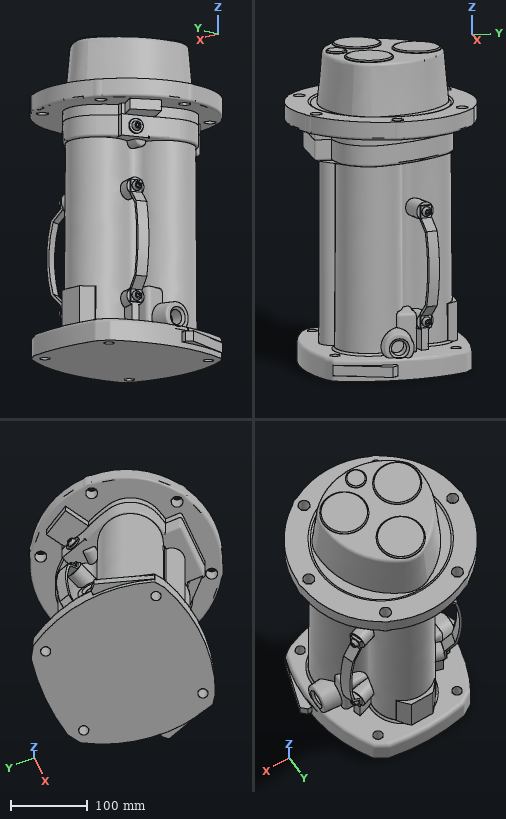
import cadquery as cq
import math

TOP_Z = 421.0
BASE_HEIGHT = 30.5
PARTING_Z = 310.5
COLLAR_BOTTOM_Z = 282.0
LOBE_OFFSET = 50.0

COLUMN_LOBE_RADIUS = 44.5
COLUMN_SIDE_CENTRE = 63.0
COLUMN_TAPER = 0.35
COLUMN_FOOT = 3.0
RIB_RADIUS = 17.5
RIB_REACH = 82.0
RIB_FOOT_WIDTH = 44.5

COLLAR_LOBE_RADIUS = 46.5
COLLAR_SIDE_CENTRE = -126.3
COLLAR_BLOCK_WIDTH = 80.0
COLLAR_BLOCK_REACH = 96.0
COLLAR_FILLET = 3.5

BASE_CORNER_FILLET = 6.5
BASE_RIM_FILLET = 6.5
BASE_HOLE_DIAMETER = 13.0
BASE_FRONT_HOLE = (75.8, -75.8)
BASE_BACK_HOLE = (61.5, 87.5)
TAB_BOTTOM_Z = 7.5
TAB_HEIGHT = 14.0
TAB_ROOT = 75.8
TAB_REACH = 121.0
TAB_CHAMFER = 7.5
TAB_TIP_X = 96.0
TAB_LENGTH = 82.5

FLANGE_BOTTOM_Z = 325.0
FLANGE_TOP_Z = 349.5
FLANGE_RADIUS = 126.07
FLANGE_FILLET = 3.5
EAR_REACH = 127.0
BOLT_CIRCLE_RADIUS = 112.0
BOLT_HOLE_DIAMETER = 15.0
BOLT_COUNT = 6
RECESS_RADIUS = 94.7
RECESS_DEPTH = 1.5
RECESS_TAPER = 60.0
BRACKET_REACH = 113.5
BRACKET_WIDTH = 42.0
BRACKET_ANGLE = 150.0

DOME_LOBE_RADIUS = 39.5
DOME_FRONT_CENTRE = -17.3
DOME_BACK_CENTRE = -38.0
DOME_TAPER = 5.1
DOME_FILLET = 5.5
PAD_HEIGHT = 2.5
PAD_SKIRT = 5.0
PAD_CHAMFER = 1.5
PAD_DIAMETER = 64.0
PAD_OFFSET = 47.5
SMALL_PAD_DIAMETER = 27.5
SMALL_PAD_OFFSET = 59.0

PORT_Y = 4.0
PORT_Z = 41.5
PORT_REACH = 103.0
PORT_DIAMETER = 39.5
PORT_HOLE_DIAMETER = 19.8
PORT_MOUTH_DIAMETER = 26.5
PORT_DEPTH = 21.0
PORT_FLARE = 5.0

SIDE_TILT = math.radians(18)
HANDLE_SEAT = (-66.5, 45.5)
HANDLE_LOWER_Z = 68.5
HANDLE_UPPER_Z = 215.5
HANDLE_WIDTH = 15.5
HANDLE_THICKNESS = 3.8
HANDLE_FOOT = 8.0
HANDLE_SHOULDER_OUT = 18.5
HANDLE_BOW_OUT = 25.0
HANDLE_BOSS_DIAMETER = 24.5
HANDLE_BOSS_LENGTH = 33.5
SCREW_HEAD_DIAMETER = 13.0
SCREW_HEAD_HEIGHT = 5.0
SCREW_DIAMETER = 8.0
SCREW_LENGTH = 21.0
SCREW_SOCKET_WIDTH = 5.0
SCREW_SOCKET_DEPTH = 2.5

EARTH_SEAT = (-67.0, 45.5)
EARTH_Z = 296.0
EARTH_BOSS_WIDTH = 40.0
EARTH_BOSS_LENGTH = 29.5
WASHER_DIAMETER = 19.8
WASHER_THICKNESS = 2.5


def polar(radius, degrees):
    angle = math.radians(degrees)
    return (radius * math.cos(angle), radius * math.sin(angle))


def lobed_outline(z, lobe_radius, front_side_centre, back_side_centre):
    """Three lobes joined by tangent arcs.

    A side is centred on the line that runs out between its two lobes: it is hollow
    if the centre is out there (> 0) and bulges if the centre is behind the axis (< 0).
    """
    side_centres = {30: back_side_centre, 150: back_side_centre, 270: front_side_centre}
    lobe_points = []
    side_points = []
    entry_points = []
    exit_points = []
    for lobe_angle in (90, 210, 330):
        lobe = polar(LOBE_OFFSET, lobe_angle)
        for points, side_angle in ((entry_points, lobe_angle - 60), (exit_points, lobe_angle + 60)):
            side_centre = side_centres[side_angle % 360]
            bend = math.copysign(1, side_centre)
            side = polar(side_centre, side_angle)
            reach = math.dist(lobe, side)
            step = bend * lobe_radius / reach
            points.append((lobe[0] + step * (side[0] - lobe[0]), lobe[1] + step * (side[1] - lobe[1])))
        lobe_points.append(polar(LOBE_OFFSET + lobe_radius, lobe_angle))
        side_points.append(polar(side_centre - bend * reach + lobe_radius, lobe_angle + 60))
    outline = cq.Workplane("XY", origin=(0, 0, z)).moveTo(*entry_points[0])
    for i in range(3):
        outline = outline.threePointArc(lobe_points[i], exit_points[i])
        outline = outline.threePointArc(side_points[i], entry_points[(i + 1) % 3])
    return outline.close()


def side_plane(seat, z):
    """Plane on the tilted -X side: local X across, local Y up, normal outward."""
    across = (-math.sin(SIDE_TILT), -math.cos(SIDE_TILT), 0)
    outward = (-math.cos(SIDE_TILT), math.sin(SIDE_TILT), 0)
    return cq.Workplane(cq.Plane(origin=(*seat, z), xDir=across, normal=outward))


def both_sides(shape):
    return shape, shape.mirror("YZ")


def collar(bottom_z, top_z):
    height = top_z - bottom_z
    block = (
        cq.Workplane("XY", origin=(0, -COLLAR_BLOCK_REACH / 2, bottom_z))
        .rect(COLLAR_BLOCK_WIDTH, COLLAR_BLOCK_REACH)
        .extrude(height)
        .edges("|Z and <Y")
        .fillet(COLLAR_FILLET)
    )
    outline = lobed_outline(bottom_z, COLLAR_LOBE_RADIUS, COLLAR_SIDE_CENTRE, COLLAR_SIDE_CENTRE)
    return outline.extrude(height).union(block)


def base_plate():
    front_corner = (83.0, -90.5)
    side_front = (95.0, -82.0)
    side_middle = (107.5, -17.0)
    side_back = (75.8, 99.0)
    back_corner = (59.0, 109.5)
    back_middle_y = 115.5
    front_middle_y = -107.8

    def left(point):
        return (-point[0], point[1])

    plate = (
        cq.Workplane("XY")
        .moveTo(*left(front_corner))
        .threePointArc((0, front_middle_y), front_corner)
        .lineTo(*side_front)
        .threePointArc(side_middle, side_back)
        .lineTo(*back_corner)
        .threePointArc((0, back_middle_y), left(back_corner))
        .lineTo(*left(side_back))
        .threePointArc(left(side_middle), left(side_front))
        .close()
        .extrude(BASE_HEIGHT)
        .edges("|Z")
        .fillet(BASE_CORNER_FILLET)
        .faces(">Z")
        .edges()
        .fillet(BASE_RIM_FILLET)
    )
    tab = (
        cq.Workplane("XY", origin=(0, 0, TAB_BOTTOM_Z))
        .moveTo(-TAB_ROOT, 0)
        .lineTo(TAB_CHAMFER - TAB_REACH, 0)
        .lineTo(-TAB_REACH, -TAB_CHAMFER)
        .lineTo(-TAB_TIP_X, -TAB_LENGTH)
        .lineTo(-TAB_ROOT, -TAB_LENGTH)
        .close()
        .extrude(TAB_HEIGHT)
    )
    for side_tab in both_sides(tab):
        plate = plate.union(side_tab)
    return plate


def base_holes():
    centres = []
    for x, y in (BASE_FRONT_HOLE, BASE_BACK_HOLE):
        centres += [(x, y), (-x, y)]
    return cq.Workplane("XY").pushPoints(centres).circle(BASE_HOLE_DIAMETER / 2).extrude(BASE_HEIGHT)


def column():
    height = COLLAR_BOTTOM_Z
    outline = lobed_outline(0, COLUMN_LOBE_RADIUS, COLUMN_SIDE_CENTRE, COLUMN_SIDE_CENTRE)
    lobes = outline.extrude(height, taper=COLUMN_TAPER)
    foot_radius = COLUMN_LOBE_RADIUS + COLUMN_FOOT
    foot = lobed_outline(BASE_HEIGHT, foot_radius, COLUMN_SIDE_CENTRE, COLUMN_SIDE_CENTRE)
    lobes = lobes.union(foot.extrude(COLUMN_FOOT, taper=45))
    rib_centre_y = RIB_RADIUS - RIB_REACH
    rib = (
        cq.Workplane("XY", origin=(0, rib_centre_y, 0))
        .circle(RIB_RADIUS)
        .extrude(height)
        .union(
            cq.Workplane("XY", origin=(0, rib_centre_y / 2, 0))
            .rect(RIB_FOOT_WIDTH, -rib_centre_y)
            .extrude(height)
        )
    )
    return lobes.union(rib)


def back_plate():
    """Flat rib that leans on the back lobe, narrowing outwards."""
    reach = 99.0
    foot_y = 83.5
    half_face = 17.0
    half_foot = 30.5
    height = 82.5
    return (
        cq.Workplane("XY")
        .moveTo(-half_face, reach)
        .lineTo(half_face, reach)
        .lineTo(half_foot, foot_y)
        .lineTo(half_foot, LOBE_OFFSET)
        .lineTo(-half_foot, LOBE_OFFSET)
        .lineTo(-half_foot, foot_y)
        .close()
        .extrude(height)
    )


def port():
    return (
        cq.Workplane("YZ", origin=(-PORT_REACH, PORT_Y, PORT_Z))
        .circle(PORT_DIAMETER / 2)
        .extrude(PORT_REACH / 2, taper=-PORT_FLARE)
        .faces("<X")
        .edges()
        .fillet(2.5)
    )


def port_hole():
    mouth_depth = (PORT_MOUTH_DIAMETER - PORT_HOLE_DIAMETER) / 2
    hole = cq.Workplane("YZ", origin=(-PORT_REACH, PORT_Y, PORT_Z)).circle(PORT_HOLE_DIAMETER / 2)
    mouth = cq.Workplane("YZ", origin=(-PORT_REACH, PORT_Y, PORT_Z)).circle(PORT_MOUTH_DIAMETER / 2)
    return hole.extrude(PORT_DEPTH).union(mouth.extrude(mouth_depth, taper=45))


def port_block():
    depth = 77.5
    front_y = 4.0
    back_y = 33.0
    height = 84.0
    return (
        cq.Workplane("XY", origin=(-depth / 2, (front_y + back_y) / 2, 0))
        .rect(depth, back_y - front_y)
        .extrude(height)
        .edges("<X or >Z")
        .fillet(6.5)
    )


def handle_bosses():
    support_width = 10.0
    bosses = cq.Workplane("XY")
    for z in (HANDLE_LOWER_Z, HANDLE_UPPER_Z):
        boss = side_plane(HANDLE_SEAT, z).circle(HANDLE_BOSS_DIAMETER / 2).extrude(-HANDLE_BOSS_LENGTH)
        bosses = bosses.add(boss)
    support = (
        side_plane(HANDLE_SEAT, HANDLE_LOWER_Z / 2)
        .rect(support_width, HANDLE_LOWER_Z)
        .extrude(-HANDLE_BOSS_LENGTH)
    )
    return bosses.add(support).combine()


def earth_boss(bottom_z, top_z):
    return (
        side_plane(EARTH_SEAT, (bottom_z + top_z) / 2)
        .rect(EARTH_BOSS_WIDTH, top_z - bottom_z)
        .extrude(-EARTH_BOSS_LENGTH)
    )


def bump():
    """Round-ended stub in the hollow below the earth boss."""
    y = 27.5
    reach = 59.0
    diameter = 17.5
    return (
        cq.Workplane("YZ", origin=(-reach, y, COLLAR_BOTTOM_Z))
        .circle(diameter / 2)
        .extrude(reach)
        .faces("<X")
        .edges()
        .fillet(2.5)
    )


def screw_hole(seat, z, depth):
    return side_plane(seat, z).circle(SCREW_DIAMETER / 2).extrude(-depth)


def make_housing():
    lower_collar = collar(COLLAR_BOTTOM_Z, PARTING_Z).faces("<Z").edges().fillet(COLLAR_FILLET)
    body = base_plate().union(column()).union(back_plate()).union(lower_collar)
    body = body.union(earth_boss(COLLAR_BOTTOM_Z, PARTING_Z)).union(bump())
    for feature in (port_block(), port(), handle_bosses()):
        for side_feature in both_sides(feature):
            body = body.union(side_feature)
    body = body.cut(base_holes())
    side_holes = [port_hole()]
    for z in (HANDLE_LOWER_Z, HANDLE_UPPER_Z):
        side_holes.append(screw_hole(HANDLE_SEAT, z, SCREW_LENGTH - HANDLE_THICKNESS))
    for hole in side_holes:
        for side_hole in both_sides(hole):
            body = body.cut(side_hole)
    return body.cut(screw_hole(EARTH_SEAT, EARTH_Z, SCREW_LENGTH - WASHER_THICKNESS))


def flange():
    thickness = FLANGE_TOP_Z - FLANGE_BOTTOM_Z
    ear_radius = EAR_REACH - BOLT_CIRCLE_RADIUS
    level = cq.Workplane("XY", origin=(0, 0, FLANGE_BOTTOM_Z))
    ears = level.polarArray(BOLT_CIRCLE_RADIUS, 0, 360, BOLT_COUNT).circle(ear_radius).extrude(thickness)
    disc = level.circle(FLANGE_RADIUS).extrude(thickness)
    disc = disc.faces("<Z").edges().fillet(FLANGE_FILLET)
    disc = disc.union(ears.faces("<Z").edges().fillet(FLANGE_FILLET))
    recess = (
        cq.Workplane("XY", origin=(0, 0, FLANGE_TOP_Z))
        .circle(RECESS_RADIUS)
        .extrude(-RECESS_DEPTH, taper=RECESS_TAPER)
    )
    return disc.cut(recess)


def bolt_holes():
    return (
        cq.Workplane("XY", origin=(0, 0, PARTING_Z))
        .polarArray(BOLT_CIRCLE_RADIUS, 0, 360, BOLT_COUNT)
        .circle(BOLT_HOLE_DIAMETER / 2)
        .extrude(FLANGE_TOP_Z - PARTING_Z)
    )


def bracket():
    return (
        cq.Workplane("XY", origin=(0, 0, PARTING_Z))
        .center(BRACKET_REACH / 2, 0)
        .rect(BRACKET_REACH, BRACKET_WIDTH)
        .extrude(FLANGE_BOTTOM_Z - PARTING_Z)
        .rotate((0, 0, 0), (0, 0, 1), BRACKET_ANGLE)
    )


def pad(diameter, centre):
    return (
        cq.Workplane("XY", origin=(*centre, TOP_Z - PAD_HEIGHT - PAD_SKIRT))
        .circle(diameter / 2)
        .extrude(PAD_HEIGHT + PAD_SKIRT)
        .faces(">Z")
        .edges()
        .chamfer(PAD_CHAMFER)
    )


def dome():
    bottom_z = FLANGE_TOP_Z - RECESS_DEPTH
    shell = (
        lobed_outline(bottom_z, DOME_LOBE_RADIUS, DOME_FRONT_CENTRE, DOME_BACK_CENTRE)
        .extrude(TOP_Z - PAD_HEIGHT - bottom_z, taper=DOME_TAPER)
        .faces(">Z")
        .edges()
        .fillet(DOME_FILLET)
    )
    for lobe_angle in (90, 210, 330):
        shell = shell.union(pad(PAD_DIAMETER, polar(PAD_OFFSET, lobe_angle)))
    return shell.union(pad(SMALL_PAD_DIAMETER, (0, -SMALL_PAD_OFFSET)))


def make_head():
    body = flange().union(collar(PARTING_Z, FLANGE_BOTTOM_Z)).union(dome())
    body = body.union(earth_boss(PARTING_Z, FLANGE_BOTTOM_Z)).union(bracket())
    return body.cut(bolt_holes())


def make_handle():
    """Bowed strap on the -X side: two feet, slanted shoulders and an arched grip."""
    middle_z = (HANDLE_LOWER_Z + HANDLE_UPPER_Z) / 2
    half_span = (HANDLE_UPPER_Z - HANDLE_LOWER_Z) / 2
    foot_end = half_span + HANDLE_FOOT
    foot_bend = half_span - 10.0
    shoulder = half_span - 25.3
    outward = (-math.cos(SIDE_TILT), math.sin(SIDE_TILT), 0)
    across = (-math.sin(SIDE_TILT), -math.cos(SIDE_TILT), 0)
    profile_plane = cq.Plane(origin=(*HANDLE_SEAT, middle_z), xDir=outward, normal=across)
    thick = HANDLE_THICKNESS
    strap = (
        cq.Workplane(profile_plane)
        .moveTo(0, foot_end)
        .lineTo(0, foot_bend)
        .lineTo(HANDLE_SHOULDER_OUT - thick, shoulder)
        .threePointArc((HANDLE_BOW_OUT - thick, 0), (HANDLE_SHOULDER_OUT - thick, -shoulder))
        .lineTo(0, -foot_bend)
        .lineTo(0, -foot_end)
        .lineTo(thick, -foot_end)
        .lineTo(thick, -foot_bend - thick / 2)
        .lineTo(HANDLE_SHOULDER_OUT, -shoulder - thick / 2)
        .threePointArc((HANDLE_BOW_OUT, 0), (HANDLE_SHOULDER_OUT, shoulder + thick / 2))
        .lineTo(thick, foot_bend + thick / 2)
        .lineTo(thick, foot_end)
        .close()
        .extrude(HANDLE_WIDTH / 2, both=True)
    )
    for z in (HANDLE_LOWER_Z, HANDLE_UPPER_Z):
        strap = strap.cut(side_plane(HANDLE_SEAT, z).circle(SCREW_DIAMETER / 2).extrude(thick))
    return strap


def make_screw(seat, z, clamped):
    """Domed socket screw; its head rests on a piece of thickness clamped on the seat."""
    under_head = side_plane(seat, z).workplane(offset=clamped)
    shank = under_head.circle(SCREW_DIAMETER / 2).extrude(-SCREW_LENGTH)
    head = under_head.circle(SCREW_HEAD_DIAMETER / 2).extrude(SCREW_HEAD_HEIGHT, taper=25)
    socket = (
        under_head.workplane(offset=SCREW_HEAD_HEIGHT)
        .polygon(6, SCREW_SOCKET_WIDTH)
        .extrude(-SCREW_SOCKET_DEPTH)
    )
    return head.union(shank).cut(socket)


def make_washer():
    return (
        side_plane(EARTH_SEAT, EARTH_Z)
        .circle(WASHER_DIAMETER / 2)
        .circle(SCREW_DIAMETER / 2)
        .extrude(WASHER_THICKNESS)
    )


housing = make_housing()
head = make_head()
handles = both_sides(make_handle())
handle_screws = []
for screw_z in (HANDLE_LOWER_Z, HANDLE_UPPER_Z):
    handle_screws += both_sides(make_screw(HANDLE_SEAT, screw_z, HANDLE_THICKNESS))
earth_washer = make_washer()
earth_screw = make_screw(EARTH_SEAT, EARTH_Z, WASHER_THICKNESS)

result = cq.Compound.makeCompound(
    [
        housing.val(),
        head.val(),
        *[handle.val() for handle in handles],
        *[screw.val() for screw in handle_screws],
        earth_washer.val(),
        earth_screw.val(),
    ]
)